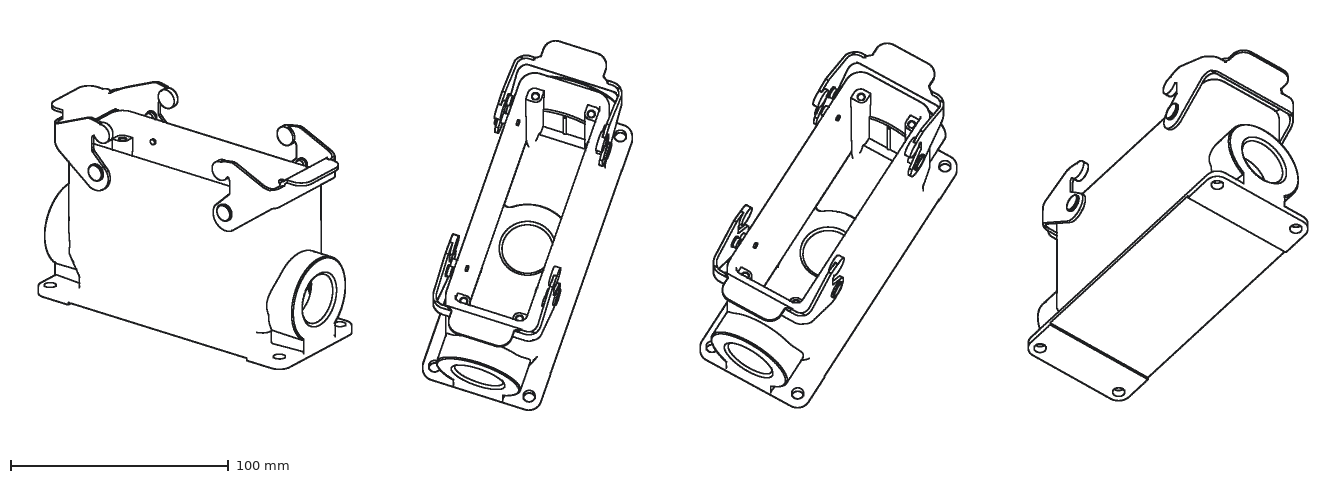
import cadquery as cq
import math

base_length = 143.8
base_width = 57.0
flange_height = 4.0
flange_corner_radius = 6.0
edge_round = 0.9
foot_fillet = 0.9
mount_hole_diameter = 5.5
mount_hole_x = 66.3
mount_hole_y = 22.9
relief_length = 103.1
relief_depth = 1.2

body_half_length = 60.3
body_half_width = 21.7
rim_top = 79.8
body_corner_radius = 7.7
waist_half_length = 54.2
waist_bottom = 10.3
waist_top = 20.7
rim_wall = 4.3
body_top = rim_top - rim_wall / 2
wall_draft = 0.4
inner_half_length = body_half_length - rim_wall
inner_half_width = body_half_width - rim_wall
inner_corner_radius = body_corner_radius - rim_wall
draft_start = 74.3

pocket_floor = 4.5
pocket_half_length = 49.2
pocket_half_width = 16.8
plateau_top = 8.0
plateau_radius = 21.7
plateau_flare_radius = 2.7
plateau_flare_offset = 1.8
floor_fillet = 1.6
knockout_diameter = 26.0
knockout_floor_diameter = 23.5
knockout_depth = 1.2
ledge_outer_x = 54.7
ledge_outer_z = 20.8
ledge_inner_x = 50.2
ledge_inner_z = 19.8

boss_height = 26.2
boss_radius = 20.4
boss_chamfer = 0.6
pedestal_half_width = 11.9
pedestal_root_half_width = 13.2
bore_mouth_diameter = 26.0
bore_diameter = 23.5
bore_end_diameter = 19.0
bore_depth = 15.9
bore_end_cone = 2.4
boss_face = base_length / 2

post_x = 52.2
post_y = 13.5
post_inner_x = 49.3
post_inner_y = 10.5
post_corner_radius = 2.8
post_top = 68.5
screw_hole_diameter = 3.0
screw_mouth_diameter = 3.5
screw_hole_depth = 17.8
rib_radius = 0.9
rib_top = 44.6

sheet = 1.5
lever_half_width = 26.0
lever_back_x = 64.2
lever_bend_radius = 6.0
lever_top = 95.8
pin_x = 37.2
pin_z = 69.8
pin_diameter = 4.9
pin_head_diameter = 8.0
pin_head_height = 1.2
pin_head_chamfer = 0.3
rivet_end_diameter = 2.5
rivet_end_height = 0.5
ear_x = 37.7
ear_z = 68.0
ear_radius = 7.5
hook_x = 34.3
hook_z = 89.9
hook_radius = 4.6
hook_thickness = 2.8
stud_x = 43.5
stud_z = 78.2
stud_base_diameter = 5.5
stud_tip_diameter = 4.8
stud_base_height = 0.6
stud_height = 2.2
tab_end_x = 74.3
tab_bottom = 88.3
tab_half_width = 15.2
tab_root_half_width = 18.1
tab_corner_radius = 6.0
tab_bend_inner_radius = 0.6


def both_ends(solid):
    """Add the mirror image of a solid on the other end of the part."""
    return solid.union(solid.mirror("YZ"))


def both_sides(solid):
    """Add the mirror image of a solid on the other long side of the part."""
    return solid.union(solid.mirror("XZ"))


def disc_y(x, z, diameter, y_start, y_end):
    """Cylinder with its axis along Y."""
    plane = cq.Workplane("XZ", origin=(x, y_start, z))
    return plane.circle(diameter / 2).extrude(y_start - y_end)


def rounded_block(half_length, half_width, radius, z_bottom, z_top):
    block = cq.Workplane("XY", origin=(0, 0, z_bottom))
    block = block.rect(2 * half_length, 2 * half_width).extrude(z_top - z_bottom)
    return block.edges("|Z").fillet(radius)


def flange():
    plate = rounded_block(boss_face, base_width / 2, flange_corner_radius, 0, flange_height)
    return plate.faces(">Z").edges().fillet(edge_round)


def outer_body():
    """Upright box that narrows at its two ends towards the flange."""
    right_side = [
        (waist_half_length, 0),
        (waist_half_length, waist_bottom),
        (body_half_length, waist_top),
        (body_half_length, body_top),
    ]
    left_side = [(-x, z) for x, z in reversed(right_side)]
    body = cq.Workplane("XZ").polyline(right_side + left_side).close()
    body = body.extrude(body_half_width, both=True)
    corners = body.faces("<Y or >Y").edges("not(#Z)")
    return corners.fillet(body_corner_radius)


def rim_bead():
    """Half-round bead that runs around the top of the body walls."""
    bead_radius = rim_wall / 2
    path = cq.Workplane("XY", origin=(0, 0, body_top))
    path = path.rect(2 * (body_half_length - bead_radius), 2 * (body_half_width - bead_radius)).extrude(1.5)
    path = path.edges("|Z").fillet(body_corner_radius - bead_radius).faces("<Z").wires()
    section = cq.Workplane("YZ", origin=(0, bead_radius - body_half_width, body_top))
    section = section.moveTo(-bead_radius, 0).threePointArc((0, bead_radius), (bead_radius, 0)).close()
    return section.sweep(path)


def boss():
    """Round cable entry on its pedestal at the -X end."""
    length = boss_face - waist_half_length
    round_part = cq.Workplane("YZ", origin=(-boss_face, 0, boss_height)).circle(boss_radius).extrude(length)
    round_part = round_part.faces("<X").edges().chamfer(boss_chamfer)
    pedestal_outline = [
        (-boss_face, -pedestal_half_width),
        (-boss_face, pedestal_half_width),
        (-waist_half_length, pedestal_root_half_width),
        (-waist_half_length, -pedestal_root_half_width),
    ]
    pedestal = cq.Workplane("XY").polyline(pedestal_outline).close().extrude(boss_height)
    return round_part.union(pedestal.intersect(pedestal_envelope()))


def pedestal_envelope():
    """Keeps the pedestal below the underside of the round cable entry."""
    return cq.Workplane("XY").box(
        2 * base_length, base_width, boss_height - boss_radius / 2, centered=(True, True, False)
    )


def cavity():
    """Inside of the body: rim opening, drafted walls and the narrowed bottom."""
    opening = rounded_block(inner_half_length, inner_half_width, inner_corner_radius, draft_start, body_top)
    walls = opening.faces("<Z").wires().toPending().workplane()
    walls = walls.extrude(draft_start - plateau_top, combine=False, taper=wall_draft)
    narrowing = [
        (pocket_half_length, plateau_top),
        (ledge_inner_x, ledge_inner_z),
        (ledge_outer_x, ledge_outer_z),
        (inner_half_length, draft_start),
    ]
    mirrored = [(-x, z) for x, z in reversed(narrowing)]
    limit = cq.Workplane("XZ").polyline(narrowing + mirrored).close().extrude(body_half_width, both=True)
    return opening.union(walls.intersect(limit))


def plateau():
    """Central plateau with two round ends that flare out towards the long walls."""
    flare_y = pocket_half_width - plateau_flare_offset
    flare_centre = plateau_radius + plateau_flare_radius
    flare_x = math.sqrt(flare_centre**2 - flare_y**2)
    join_x = flare_x * plateau_radius / flare_centre
    join_y = flare_y * plateau_radius / flare_centre
    outer_y = flare_y + plateau_flare_radius
    bulge = plateau_flare_radius * math.sqrt(0.5)
    plan = cq.Workplane("XY", origin=(0, 0, 0)).moveTo(flare_x, -outer_y)
    plan = plan.threePointArc((flare_x - bulge, -flare_y - bulge), (join_x, -join_y))
    plan = plan.threePointArc((plateau_radius, 0), (join_x, join_y))
    plan = plan.threePointArc((flare_x - bulge, flare_y + bulge), (flare_x, outer_y))
    plan = plan.lineTo(-flare_x, outer_y)
    plan = plan.threePointArc((-flare_x + bulge, flare_y + bulge), (-join_x, join_y))
    plan = plan.threePointArc((-plateau_radius, 0), (-join_x, -join_y))
    plan = plan.threePointArc((-flare_x + bulge, -flare_y - bulge), (-flare_x, -outer_y)).close()
    block = plan.extrude(plateau_top)
    return block.faces(">Z").edges("not(|X)").fillet(floor_fillet)


def floor_pockets():
    """Two pockets in the floor, separated by the central plateau."""
    height = plateau_top - pocket_floor
    block = cq.Workplane("XY", origin=(0, 0, pocket_floor))
    block = block.box(2 * pocket_half_length, 2 * pocket_half_width, height, centered=(True, True, False))
    block = block.cut(plateau())
    return block.faces("<Z").edges().fillet(floor_fillet)


def knockout():
    recess = cq.Workplane("XY", origin=(0, 0, plateau_top)).circle(knockout_diameter / 2)
    recess = recess.workplane(offset=-knockout_depth).circle(knockout_floor_diameter / 2)
    return recess.loft(combine=True)


def bore():
    """Blind cable bore in the -X end, with a conical mouth and a conical end."""
    mouth = (bore_mouth_diameter - bore_diameter) / 2
    bottom_x = -boss_face + bore_depth
    outline = [
        (-boss_face, 0),
        (-boss_face, bore_mouth_diameter / 2),
        (-boss_face + mouth, bore_diameter / 2),
        (bottom_x - bore_end_cone, bore_diameter / 2),
        (bottom_x, bore_end_diameter / 2),
        (bottom_x, 0),
    ]
    hole = cq.Workplane("XZ").polyline(outline).close().revolve(360, (0, 0, 0), (1, 0, 0))
    return hole.translate((0, 0, boss_height))


def post():
    """Screw post in the -X, +Y corner of the cavity."""
    length = body_half_length - rim_wall / 2 - post_inner_x
    width = body_half_width - rim_wall / 2 - post_inner_y
    column = cq.Workplane("XY", origin=(-post_inner_x - length / 2, post_inner_y + width / 2, pocket_floor))
    column = column.rect(length, width).extrude(post_top - pocket_floor)
    column = column.edges("|Z and >X and <Y").fillet(post_corner_radius)
    return column.intersect(outer_core()).intersect(outer_body())


def outer_core():
    """Inside limit of the posts, midway through the body walls."""
    inset = rim_wall / 2
    radius = body_corner_radius - inset
    return rounded_block(body_half_length - inset, body_half_width - inset, radius, 0, body_top)


def screw_hole():
    bottom = post_top - screw_hole_depth
    hole = cq.Workplane("XY", origin=(-post_x, post_y, bottom))
    hole = hole.circle(screw_hole_diameter / 2).extrude(screw_hole_depth)
    mouth_depth = (screw_mouth_diameter - screw_hole_diameter) / 2
    mouth = cq.Workplane("XY", origin=(-post_x, post_y, post_top)).circle(screw_mouth_diameter / 2)
    mouth = mouth.workplane(offset=-mouth_depth).circle(screw_hole_diameter / 2).loft(combine=True)
    return hole.union(mouth)


def rib():
    """Small round locating rib on the inside of the -X end wall, rising from the ledge."""
    plane = cq.Workplane("XY", origin=(-ledge_outer_x, 0, ledge_inner_z))
    return plane.circle(rib_radius).extrude(rib_top - ledge_inner_z)


def lever_profile():
    """Side outline of the -X lever, as a solid spanning the full width."""
    ear_start = (-40.9, 61.4)
    ear_end = (-31.4, 71.8)
    ear_middle = (-ear_x + ear_radius * math.cos(math.pi / 4), ear_z - ear_radius * math.sin(math.pi / 4))
    outline = cq.Workplane("XZ").moveTo(-lever_back_x, 77.7).lineTo(sheet - lever_back_x, 77.7).lineTo(*ear_start)
    outline = outline.threePointArc(ear_middle, ear_end)
    outline = outline.lineTo(-39.8, 80.0).lineTo(-39.8, 86.2)
    outline = outline.threePointArc((-38.0, 88.0), (-36.3, 86.2))
    outline = outline.lineTo(-hook_x, hook_z).lineTo(-35.2, 94.8)
    outline = outline.threePointArc((-38.6, 95.5), (-41.3, lever_top)).lineTo(-43.0, 95.4)
    outline = outline.lineTo(-62.1, 87.1).lineTo(-lever_back_x, 87.1).close()
    return outline.extrude(lever_half_width, both=True)


def lever_sheet():
    """U-shaped sheet around the -X end, cut to the side outline."""
    length = lever_back_x
    sheet_u = cq.Workplane("XY", origin=(-lever_back_x + length / 2, 0, 0))
    sheet_u = sheet_u.rect(length, 2 * lever_half_width).extrude(lever_top)
    sheet_u = sheet_u.edges("|Z and <X").fillet(lever_bend_radius)
    sheet_u = sheet_u.faces(">X or >Z or <Z").shell(-sheet)
    return sheet_u.intersect(lever_profile())


def lever_tab():
    """Finger tab bent outwards from the upper edge of the lever sheet."""
    bend_radius = tab_bend_inner_radius + sheet
    bend_x = -lever_back_x + sheet - bend_radius
    bend_z = tab_bottom - tab_bend_inner_radius
    diagonal = math.sqrt(0.5)
    section = cq.Workplane("XZ").moveTo(-tab_end_x, tab_bottom).lineTo(bend_x, tab_bottom)
    section = section.threePointArc(
        (bend_x + tab_bend_inner_radius * diagonal, bend_z + tab_bend_inner_radius * diagonal),
        (bend_x + tab_bend_inner_radius, bend_z),
    )
    section = section.lineTo(bend_x + tab_bend_inner_radius, bend_z - sheet)
    section = section.lineTo(bend_x + bend_radius, bend_z - sheet).lineTo(bend_x + bend_radius, bend_z)
    section = section.threePointArc(
        (bend_x + bend_radius * diagonal, bend_z + bend_radius * diagonal),
        (bend_x, bend_z + bend_radius),
    )
    section = section.lineTo(-tab_end_x, tab_bottom + sheet).close()
    strip = section.extrude(tab_root_half_width, both=True)
    root_x = bend_x + bend_radius
    half_outline = [
        (root_x, tab_root_half_width),
        (bend_x, tab_half_width),
        (-tab_end_x, tab_half_width),
    ]
    other_half = [(x, -y) for x, y in reversed(half_outline)]
    plan = cq.Workplane("XY").polyline(half_outline + other_half).close().extrude(lever_top)
    plan = plan.edges("|Z and <X").fillet(tab_corner_radius)
    return strip.intersect(plan)


def hook():
    """Thickened round head of the locking hook on the +Y side."""
    return disc_y(-hook_x, hook_z, 2 * hook_radius, lever_half_width - hook_thickness, lever_half_width)


def pin():
    """Pivot pin through lever and body wall, with its head and rivet end."""
    head_top = lever_half_width + pin_head_height
    inside_wall = inner_half_width - rivet_end_height
    for_wall = body_half_width - rim_wall / 2
    shaft = disc_y(-pin_x, pin_z, pin_diameter, for_wall, lever_half_width)
    head = disc_y(-pin_x, pin_z, pin_head_diameter, lever_half_width - sheet, head_top)
    head = head.faces(">Y").edges().chamfer(pin_head_chamfer)
    rivet_end = disc_y(-pin_x, pin_z, rivet_end_diameter, inside_wall - rivet_end_height, for_wall)
    return shaft.union(head).union(rivet_end)


def stud():
    """Stepped stop stud on the inner face of the lever."""
    sheet_inside = lever_half_width - sheet
    middle = lever_half_width - sheet / 2
    base = disc_y(-stud_x, stud_z, stud_base_diameter, sheet_inside - stud_base_height, middle)
    tip = disc_y(-stud_x, stud_z, stud_tip_diameter, sheet_inside - stud_height, middle)
    return base.union(tip)


def lever():
    side_parts = hook().union(pin()).union(stud())
    return lever_sheet().union(lever_tab()).union(both_sides(side_parts))


def foot_edges(solid):
    """Round the corner between the long body walls and the flange."""
    near_foot = cq.selectors.BoxSelector(
        (-body_half_length, -body_half_width - edge_round, flange_height - edge_round),
        (body_half_length, body_half_width + edge_round, flange_height + edge_round),
    )
    return solid.edges(near_foot).edges("#Z").fillet(foot_fillet)


housing = foot_edges(flange().union(outer_body()))
housing = housing.cut(cavity())
housing = housing.union(rim_bead())
housing = housing.cut(floor_pockets())
housing = housing.cut(knockout())

housing = housing.union(both_ends(boss()))
housing = housing.cut(both_ends(bore()))

housing = housing.union(both_ends(both_sides(post())))
housing = housing.cut(both_ends(both_sides(screw_hole())))
housing = housing.union(both_ends(rib()))

relief = cq.Workplane("XY").box(relief_length, base_width, relief_depth, centered=(True, True, False))
housing = housing.cut(relief)
mount_holes = cq.Workplane("XY").rect(2 * mount_hole_x, 2 * mount_hole_y, forConstruction=True).vertices()
housing = housing.cut(mount_holes.circle(mount_hole_diameter / 2).extrude(flange_height))

result = housing.union(both_ends(lever()))